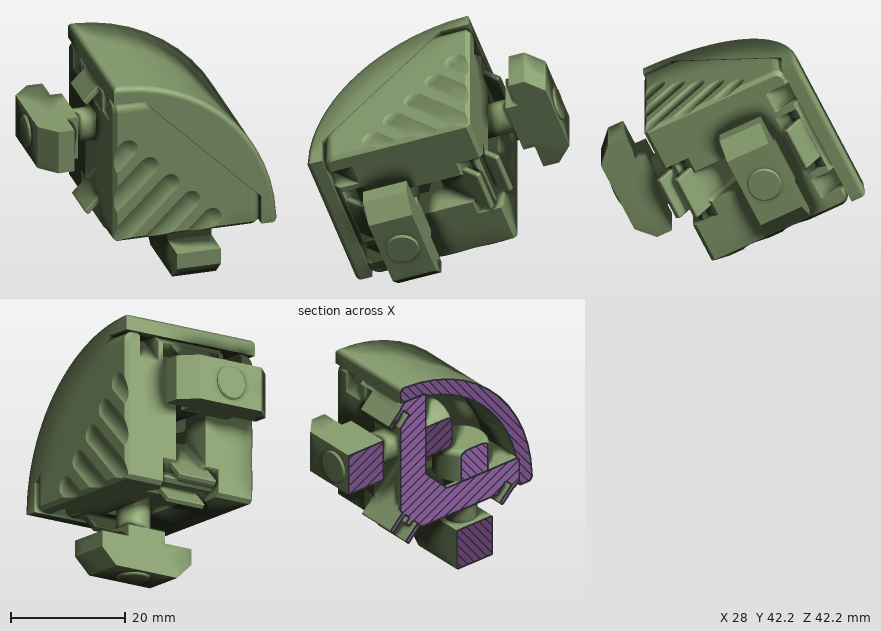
import cadquery as cq
import math


width = 28.0
cover_radius = 30.0
hollow_radius = 27.0
leg_length = 27.05
seam_rise = 32.4
cover_fillet = 0.93

shoulder_fillet = 2.0
edge_chamfer = 0.67

wall = 5.8
cavity_width = 10.3
web_rise = 16.35

screw_offset = 16.87
screw_diameter = 6.0
screw_tip = 12.2
tip_chamfer = 0.2
head_diameter = 10.0
head_height = 6.0
head_fillet = 1.0

nut_depth = 8.0
front_nut_neck_width = 9.95
bottom_nut_neck_width = 8.0
nut_width = 19.5
nut_end_width = 13.33
nut_neck_start = 3.85
nut_wing_start = 5.95
nut_taper_start = 8.85
nut_end = 11.75

slot_width = 6.5
slot_top = 20.15
slot_floor_skew = 4.18
slot_floor_fillet = 0.75

tab_width = 8.0
tab_thickness_skew = 1.5
tab_chamfer = 0.15
tab_root = 1.7
outer_tab_skew = 25.85
outer_tab_tip = 20.55
inner_tab_skew = 4.2
inner_tab_tip = -0.55
bevel_skew = 26.0

notch_width = 12.05
outer_notch_rise = 26.03
outer_notch_skew = 21.98
inner_notch_rise = 4.98
ridge_tip_rise = 3.25
ridge_skew = 0.93
notch_corner_chamfer = 0.25

clip_pocket_width = 3.95
clip_pocket_x = 9.05
clip_pocket_skew = 22.5
clip_pocket_fillet = 0.2

seam_groove_rise = 0.3
seam_groove_depth = 0.25

groove_count = 5
groove_middle_rise = 20.5
groove_pitch_skew = 7.68
groove_half_width = 1.77
groove_depth = 0.5


def diagonal_point(rise, skew):
    """YZ point at a given rise and skew."""
    return ((rise - skew) / 2, (rise + skew) / 2)


def prism(points, thickness):
    """YZ outline extruded equally to both sides of X = 0."""
    return cq.Workplane("YZ").polyline(points).close().extrude(thickness / 2, both=True)


def diagonal_prism(corners, thickness):
    """Prism whose outline is given as (rise, skew) corners."""
    return prism([diagonal_point(*corner) for corner in corners], thickness)


def filleted_floor(cutter, radius):
    """Cutter with its long slanted floor edges rounded."""
    along_diagonal = cq.selectors.ParallelDirSelector(cq.Vector(0, 1, 1))
    return cutter.edges(along_diagonal).fillet(radius)


def other_leg(body):
    """Mirror image across the diagonal plane Y = Z."""
    return body.mirror(cq.Vector(0, 1, -1))


def bracket_outline():
    shoulder = seam_rise - leg_length
    return [(0, 0), (leg_length, 0), (leg_length, shoulder), (shoulder, leg_length), (0, leg_length)]


def bracket_block():
    block = prism(bracket_outline(), width)
    block = block.faces(">Z").edges("|Y").fillet(shoulder_fillet)
    block = block.faces(">Y").edges("|Z").fillet(shoulder_fillet)
    return block.faces("<Y or <Z").edges().chamfer(edge_chamfer)


def head_cavity():
    """Room for both screw heads, open towards the cover."""
    outline = [
        (wall, web_rise - wall),
        (web_rise - wall, wall),
        (seam_rise - wall, wall),
        (wall, seam_rise - wall),
    ]
    return prism(outline, cavity_width)


def screw_slot():
    """Slot through the Y = 0 wall, with a slanted, filleted floor on the corner web."""
    outline = [
        (0, slot_floor_skew),
        diagonal_point(web_rise, slot_floor_skew),
        (wall, web_rise - wall),
        (wall, slot_top),
        (0, slot_top),
    ]
    return filleted_floor(prism(outline, slot_width), slot_floor_fillet)


def outer_notch():
    """V-shaped notch behind the outer tab."""
    corner = notch_corner_chamfer
    return diagonal_prism(
        [
            (outer_notch_rise, outer_notch_rise),
            (outer_notch_rise, outer_notch_skew + corner),
            (outer_notch_rise - corner, outer_notch_skew),
            (outer_notch_skew, outer_notch_skew),
        ],
        notch_width,
    )


def inner_notch():
    """Notch across the corner edge, leaving a low ridge between the two inner tabs."""
    corner = notch_corner_chamfer
    half_outline = [
        (0, inner_notch_rise),
        (inner_notch_rise, inner_notch_rise),
        (inner_notch_rise, ridge_skew + corner),
        (inner_notch_rise - corner, ridge_skew),
        (ridge_tip_rise + corner, ridge_skew),
        (ridge_tip_rise, ridge_skew - corner),
    ]
    mirrored_half = [(rise, -skew) for rise, skew in reversed(half_outline)]
    return diagonal_prism(half_outline + mirrored_half, notch_width)


def bevel_between_clips():
    """Wider bevel on the upper front edge, in line with the outer tab."""
    return prism(
        [
            (0, bevel_skew),
            (leg_length - bevel_skew, leg_length),
            (0, leg_length),
        ],
        2 * clip_pocket_x - clip_pocket_width,
    )


def clip_pockets():
    """Pair of slanted pockets in the upper front edge."""
    pocket = prism(
        [
            (0, clip_pocket_skew),
            (leg_length - clip_pocket_skew, leg_length),
            (0, leg_length),
        ],
        clip_pocket_width,
    )
    pocket = filleted_floor(pocket, clip_pocket_fillet)
    return [pocket.translate((x, 0, 0)) for x in (-clip_pocket_x, clip_pocket_x)]


def tab(tip_rise, root_rise, top_skew):
    """Flat tab pointing along the diagonal, out of the mounting face."""
    bottom_skew = top_skew - tab_thickness_skew
    root_rise += tab_root
    return diagonal_prism(
        [
            (tip_rise, bottom_skew),
            (root_rise, bottom_skew),
            (root_rise, top_skew),
            (tip_rise, top_skew),
        ],
        tab_width,
    ).edges().chamfer(tab_chamfer)


def side_grooves():
    """Shallow round-bottomed finger grooves along the diagonal, on both sides."""
    radius = (groove_half_width**2 + groove_depth**2) / (2 * groove_depth)
    axis_x = width / 2 + radius - groove_depth
    grooves = []
    for index in range(groove_count):
        skew = (index - (groove_count - 1) / 2) * groove_pitch_skew
        y, z = diagonal_point(groove_middle_rise, skew)
        for x in (-axis_x, axis_x):
            start = cq.Vector(x, y, z)
            towards_corner = cq.Vector(0, -1, -1)
            trough = cq.Solid.makeCylinder(radius, groove_middle_rise, start, towards_corner)
            round_end = cq.Workplane("XY").sphere(radius).translate(start)
            grooves += [cq.Workplane(trough), round_end]
    return grooves


def seam_grooves():
    """Shallow steps along the slanted joint, one in each side of the bracket."""
    far = leg_length
    low = seam_rise - seam_groove_rise
    strip = diagonal_prism(
        [(low, -far), (seam_rise, -far), (seam_rise, far), (low, far)],
        seam_groove_depth,
    )
    x = (width - seam_groove_depth) / 2
    return [strip.translate((-x, 0, 0)), strip.translate((x, 0, 0))]


def make_bracket():
    bracket = bracket_block().cut(head_cavity()).cut(inner_notch())
    for cutter in [outer_notch(), bevel_between_clips(), *clip_pockets()]:
        bracket = bracket.cut(cutter).cut(other_leg(cutter))
    for cutter in side_grooves() + seam_grooves():
        bracket = bracket.cut(cutter)
    tabs = [
        tab(outer_tab_tip, outer_notch_rise, outer_tab_skew),
        tab(inner_tab_tip, inner_notch_rise, inner_tab_skew),
    ]
    for one_tab in tabs:
        bracket = bracket.union(one_tab).union(other_leg(one_tab))
    slot = screw_slot()
    return bracket.cut(slot).cut(other_leg(slot))


def quarter_disc(radius, thickness):
    middle = radius / math.sqrt(2)
    return (
        cq.Workplane("YZ")
        .lineTo(radius, 0)
        .threePointArc((middle, middle), (0, radius))
        .close()
        .extrude(thickness / 2, both=True)
    )


def make_cover():
    """Quarter-round cover with rounded outer edges, hollow over the bracket cavity."""
    cover = quarter_disc(cover_radius, width)
    outer_face = cq.selectors.BoxSelector(
        (-width, cover_radius / 2, cover_radius / 2), (width, cover_radius, cover_radius)
    )
    cover = cover.faces(outer_face).edges().fillet(cover_fillet)
    hollow = quarter_disc(hollow_radius, cavity_width)
    return cover.cut(hollow).cut(prism(bracket_outline(), width))


def make_screw():
    """Cap screw along Y through the front wall."""
    shank = (
        cq.Workplane("XZ", origin=(0, wall, screw_offset))
        .circle(screw_diameter / 2)
        .extrude(wall + screw_tip)
        .faces("<Y")
        .chamfer(tip_chamfer)
    )
    head = (
        cq.Workplane("XZ", origin=(0, wall, screw_offset))
        .circle(head_diameter / 2)
        .extrude(-head_height)
        .faces(">Y")
        .edges()
        .fillet(head_fillet)
    )
    return shank.union(head)


def make_nut(neck_width):
    """T-nut on the screw, with tapered wings."""
    right_half = [
        (neck_width / 2, -nut_neck_start),
        (neck_width / 2, -nut_wing_start),
        (nut_width / 2, -nut_wing_start),
        (nut_width / 2, -nut_taper_start),
        (nut_end_width / 2, -nut_end),
    ]
    left_half = [(-x, y) for x, y in reversed(right_half)]
    body = (
        cq.Workplane("XY", origin=(0, 0, screw_offset))
        .polyline(right_half + left_half)
        .close()
        .extrude(nut_depth / 2, both=True)
    )
    bore = cq.Workplane("XZ", origin=(0, 0, screw_offset)).circle(screw_diameter / 2).extrude(screw_tip)
    return body.cut(bore)


bracket = make_bracket()
cover = make_cover()
screw = make_screw()
screws = [screw, other_leg(screw)]
nuts = [make_nut(front_nut_neck_width), other_leg(make_nut(bottom_nut_neck_width))]

result = cq.Compound.makeCompound([body.val() for body in [bracket, cover, *screws, *nuts]])